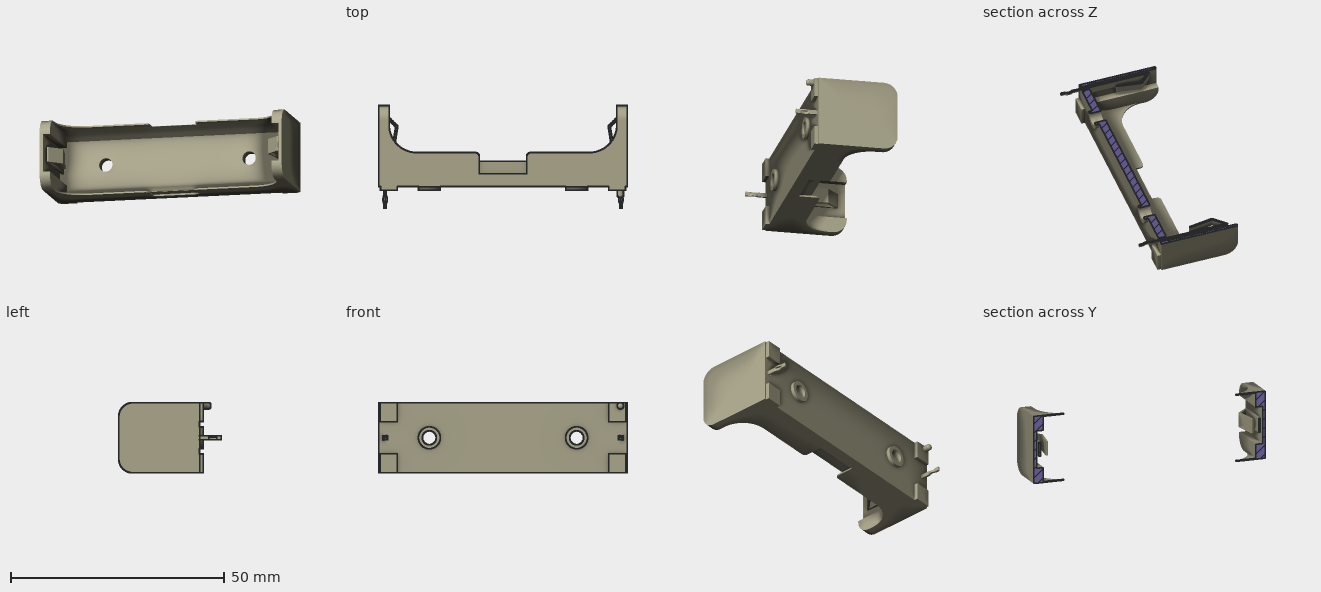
import cadquery as cq


length = 58.3
width = 16.5
end_height = 19.0
side_height = 8.0
end_wall = 2.5
end_corner_radius = 3.3
saddle_radius = 6.4

side_wall = 0.35
floor_thickness = 2.0
trough_radius = width / 2 - side_wall
trough_axis_height = 7.3

notch_length = 11.1
notch_height = 5.95
notch_corner_radius = 1.0
recess_floor_height = 3.0
recess_depth = 0.4

standoff = 0.9
foot_length = 4.0
foot_width = 4.5
foot_inset = 0.4
hole_spacing = 34.5
hole_diameter = 3.2
boss_diameter = 5.15
peg_radius = 0.75
peg_length = 1.75
peg_round = 0.6
peg_inset = 1.65

contact_thickness = 0.5
spring_width = 3.5
pin_width = 1.0
contact_inset = 1.5
contact_top = 16.8
pin_tip = -5.1
spring_nose = (4.25, 14.05)
spring_end = (3.3, 8.15)
strip_bottom = floor_thickness
kink_start = -2.1
kink_end = -4.0
outer_kink_bow = 0.25
inner_kink_bow = 0.3
kink_split = 0.1
pocket_back = 0.8
pocket_width = 9.0
slot_start = 1.0
slot_length = 1.15

half_length = length / 2
half_width = width / 2
inner_half_length = half_length - end_wall
margin = 0.05


def box(x_range, y_range, z_range):
    """Box given by its lower and upper limits along each axis."""
    x0, x1 = x_range
    y0, y1 = y_range
    z0, z1 = z_range
    return cq.Workplane("XY").box(x1 - x0, y1 - y0, z1 - z0, centered=False).translate((x0, y0, z0))


def both_ends(shape):
    """The shape together with its mirror image at the other end."""
    return shape.union(shape.mirror("YZ"))


def make_shell():
    """U-shaped block with rounded end walls and swept saddles."""
    block = box((-half_length, half_length), (0, end_height), (-half_width, half_width))
    block = block.edges("|X and >Y").fillet(end_corner_radius)
    opening = box(
        (-inner_half_length, inner_half_length),
        (side_height, end_height),
        (-half_width, half_width),
    )
    opening = opening.edges("|Z and <Y").fillet(saddle_radius)
    return block.cut(opening)


def make_trough():
    """Battery space: a round bottom cut off flat at the floor, with straight sides above its axis."""
    cylinder = (
        cq.Workplane("YZ")
        .center(trough_axis_height, 0)
        .circle(trough_radius)
        .extrude(inner_half_length, both=True)
    )
    x_range = (-inner_half_length, inner_half_length)
    z_range = (-trough_radius, trough_radius)
    above_floor = box(x_range, (floor_thickness, trough_axis_height), z_range)
    straight_sides = box(x_range, (trough_axis_height, end_height), z_range)
    return cylinder.intersect(above_floor).union(straight_sides)


def make_notch():
    """Finger notch through both side walls, with a shallow recess on each outer face below it."""
    half_notch = notch_length / 2
    notch = box((-half_notch, half_notch), (notch_height, side_height), (-half_width, half_width))
    for side in (-1, 1):
        z_limits = sorted((side * half_width, side * (half_width - recess_depth)))
        notch = notch.union(box((-half_notch, half_notch), (recess_floor_height, side_height), z_limits))
    return notch


def round_notch_corners(body):
    """Round the two corners where the notch meets the top of each side wall."""
    reach = notch_length / 2 + margin
    corners = cq.selectors.BoxSelector(
        (-reach, side_height - margin, -half_width - margin),
        (reach, side_height + margin, half_width + margin),
    )
    return body.edges("|Z").edges(corners).fillet(notch_corner_radius)


def make_feet():
    """Four feet, one near each corner of the mounting face."""
    foot_start = -half_length + foot_inset
    foot = box(
        (foot_start, foot_start + foot_length), (-standoff, 0), (half_width - foot_width, half_width)
    )
    return both_ends(foot.union(foot.mirror("XY")))


def cylinders_at_holes(diameter, top, bottom):
    """One cylinder along Y at each mounting hole position."""
    return (
        cq.Workplane("XZ", origin=(0, top, 0))
        .pushPoints([(-hole_spacing / 2, 0), (hole_spacing / 2, 0)])
        .circle(diameter / 2)
        .extrude(top - bottom)
    )


def make_peg():
    """Round-tipped peg at the +X, +Z corner."""
    peg = (
        cq.Workplane("XZ", origin=(half_length - peg_inset, 0, half_width - peg_radius))
        .circle(peg_radius)
        .extrude(standoff + peg_length)
    )
    return peg.faces("<Y").edges().fillet(peg_round)


def make_pockets():
    """Pocket in each end wall, open to the trough and the open side, with a pin slot in the floor."""
    back = -half_length + pocket_back
    pocket = box(
        (back, -inner_half_length),
        (floor_thickness, end_height),
        (-pocket_width / 2, pocket_width / 2),
    )
    slot_x = -half_length + slot_start
    slot = box((slot_x, slot_x + slot_length), (0, floor_thickness), (-pin_width / 2, pin_width / 2))
    return both_ends(pocket.union(slot))


def make_housing():
    """Battery holder with every opening cut and every mounting feature added."""
    body = make_shell().cut(make_trough()).cut(make_notch())
    body = round_notch_corners(body)
    body = body.union(make_feet())
    body = body.union(cylinders_at_holes(boss_diameter, 0, -standoff))
    body = body.union(make_peg())
    body = body.cut(cylinders_at_holes(hole_diameter, floor_thickness, -standoff))
    return body.cut(make_pockets())


def make_kink(bow, z_start, z_end):
    """Part of the pin's width, bowed along X by the given amount."""
    half = contact_thickness / 2
    middle = (kink_start + kink_end) / 2
    return (
        cq.Workplane("XY", origin=(0, 0, z_start))
        .moveTo(-half, kink_start)
        .threePointArc((-half + bow, middle), (-half, kink_end))
        .lineTo(half, kink_end)
        .threePointArc((half + bow, middle), (half, kink_start))
        .close()
        .extrude(z_end - z_start)
    )


def make_pin():
    """Solder pin centred on X = 0, split lengthwise where its two parts bow apart."""
    x_range = (-contact_thickness / 2, contact_thickness / 2)
    half_pin = pin_width / 2
    tip = box(x_range, (pin_tip, kink_end), (-half_pin, half_pin))
    root = box(x_range, (kink_start, strip_bottom), (-half_pin, half_pin))
    outer_kink = make_kink(-outer_kink_bow, kink_split, half_pin)
    inner_kink = make_kink(inner_kink_bow, -half_pin, kink_split)
    return tip.union(outer_kink).union(inner_kink).union(root)


def make_contact():
    """Contact of the -X end: a pin, and a wide strip up the pocket that folds into a spring."""
    leg_x = -half_length + contact_inset
    nose_x, nose_y = spring_nose
    end_x, end_y = spring_end
    path = cq.Workplane("XY").polyline(
        [
            (leg_x, strip_bottom),
            (leg_x, contact_top),
            (-half_length + nose_x, nose_y),
            (-half_length + end_x, end_y),
        ]
    )
    strip = (
        cq.Workplane("XZ", origin=(leg_x, strip_bottom, 0))
        .rect(contact_thickness, spring_width)
        .sweep(path, transition="round")
    )
    return strip.union(make_pin().translate((leg_x, 0, 0)))


housing = make_housing()
left_contact = make_contact()
right_contact = left_contact.mirror("YZ")

result = cq.Compound.makeCompound([housing.val(), left_contact.val(), right_contact.val()])